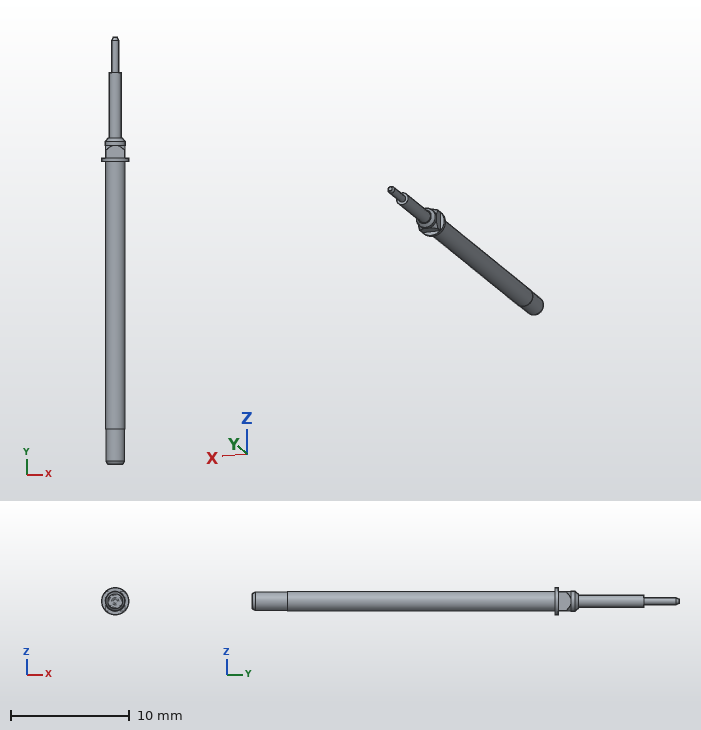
import cadquery as cq

tip_y = 10.5
tail_y = -25.5
tip_length = 3.0
flange_thickness = 0.3
collar_front_y = 2.0
collar_rear_y = 1.37
tail_cap_length = 3.0

tip_diameter = 0.6
tip_end_diameter = 0.35
neck_diameter = 1.05
nose_diameter = 1.2
collar_diameter = 1.7
flange_diameter = 2.3
barrel_diameter = 1.65
tail_cap_diameter = 1.6

square_width = 1.65
square_turned_diameter = 2.29
square_taper_length = 0.4

tip_taper_length = 0.3
nose_length = 0.3
tail_chamfer_length = 0.3
tail_chamfer_depth = 0.17


def rod(diameter, rear_y, front_y):
    """Cylinder on the Y axis between two axial positions."""
    plane = cq.Plane(origin=(0, rear_y, 0), xDir=(1, 0, 0), normal=(0, 1, 0))
    return cq.Workplane(plane).circle(diameter / 2).extrude(front_y - rear_y)


def cone(rear_diameter, front_diameter, rear_y, front_y):
    """Truncated cone on the Y axis."""
    profile = [
        (0, rear_y),
        (rear_diameter / 2, rear_y),
        (front_diameter / 2, front_y),
        (0, front_y),
    ]
    return cq.Workplane("XY").polyline(profile).close().revolve(360, (0, 0, 0), (0, 1, 0))


def contact_tip():
    """Thin pin with a tapered end."""
    taper_rear_y = tip_y - tip_taper_length
    shaft = rod(tip_diameter, tip_y - tip_length, taper_rear_y)
    return shaft.union(cone(tip_diameter, tip_end_diameter, taper_rear_y, tip_y))


def neck():
    return rod(neck_diameter, collar_front_y, tip_y - tip_length)


def collar():
    """Round collar with a tapered nose."""
    nose_rear_y = collar_front_y - nose_length
    nose = cone(collar_diameter, nose_diameter, nose_rear_y, collar_front_y)
    return nose.union(rod(collar_diameter, collar_rear_y, nose_rear_y))


def driving_square():
    """Square section cut from a round with a tapered front."""
    taper_rear_y = collar_rear_y - square_taper_length
    taper = cone(square_turned_diameter, collar_diameter, taper_rear_y, collar_rear_y)
    round_stock = taper.union(rod(square_turned_diameter, flange_thickness, taper_rear_y))
    length = collar_rear_y - flange_thickness
    square = cq.Workplane("XY").box(square_width, length, square_width)
    square = square.translate((0, flange_thickness + length / 2, 0))
    return round_stock.intersect(square)


def flange():
    return rod(flange_diameter, 0, flange_thickness)


def barrel():
    """Long body with a slightly thinner chamfered cap at the rear."""
    cap_front_y = tail_y + tail_cap_length
    chamfer_front_y = tail_y + tail_chamfer_length
    end_diameter = tail_cap_diameter - 2 * tail_chamfer_depth
    body = rod(barrel_diameter, cap_front_y, 0)
    cap = rod(tail_cap_diameter, chamfer_front_y, cap_front_y)
    end = cone(end_diameter, tail_cap_diameter, tail_y, chamfer_front_y)
    return body.union(cap).union(end)


result = (
    barrel()
    .union(flange())
    .union(driving_square())
    .union(collar())
    .union(neck())
    .union(contact_tip())
)